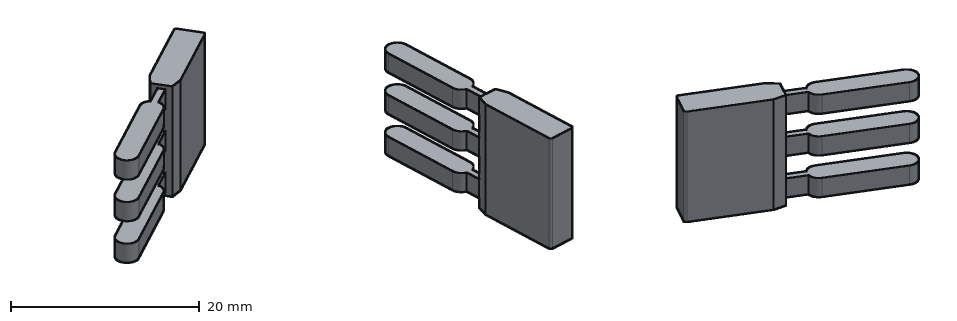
import cadquery as cq

body_width = 3.4
body_height = 13.8
total_length = 26.15
body_length = 11.3
taper_length = 1.5
nose_width = 2.4
rear_corner = 0.3

pin_count = 3
pin_pitch = 5.2
pin_height = 2.4
neck_width = 0.85
blade_width = 2.62
blade_length = 12.26

tip_y = -total_length / 2
rear_y = total_length / 2
nose_y = rear_y - body_length


def make_body():
    """Housing with a tapered nose and slightly rounded rear edges."""
    half_width = body_width / 2
    half_nose = nose_width / 2
    taper_y = nose_y + taper_length
    return (
        cq.Workplane("XY")
        .moveTo(-half_nose, nose_y)
        .lineTo(half_nose, nose_y)
        .lineTo(half_width, taper_y)
        .lineTo(half_width, rear_y)
        .lineTo(-half_width, rear_y)
        .lineTo(-half_width, taper_y)
        .close()
        .extrude(body_height / 2, both=True)
        .edges("|Z and >Y")
        .fillet(rear_corner)
    )


def make_pin(center_z):
    """Neck and round-ended blade, both of the full pin height."""
    blade_center_y = tip_y + blade_length / 2
    neck_length = nose_y - blade_center_y
    blade = (
        cq.Workplane("XY")
        .center(0, blade_center_y)
        .slot2D(blade_length, blade_width, 90)
        .extrude(pin_height / 2, both=True)
    )
    neck = cq.Workplane("XY").box(neck_width, neck_length, pin_height)
    neck = neck.translate((0, blade_center_y + neck_length / 2, 0))
    return blade.union(neck).translate((0, 0, center_z))


result = make_body()
for index in range(pin_count):
    offset = index - (pin_count - 1) / 2
    result = result.union(make_pin(offset * pin_pitch))